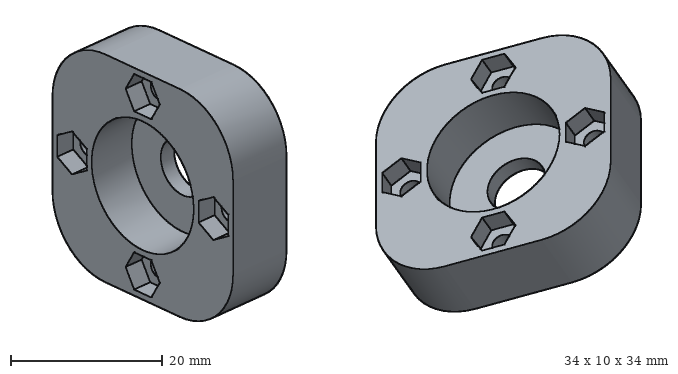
import cadquery as cq

side = 34.0
thickness = 10.0
corner_radius = 10.0

bore_diameter = 19.2
bore_depth = 7.48
shaft_hole_diameter = 8.3

bolt_hole_diameter = 3.0
bolt_offset = 13.3
nut_corner_diameter = 6.43
nut_depth = 3.0
bolt_count = 4


def front_plane():
    """Front face plane: local x is +X, local y is +Z, normal points out to -Y."""
    return cq.Workplane("XZ", origin=(0, -thickness / 2, 0))


def make_body():
    body = front_plane().rect(side, side).extrude(-thickness)
    return body.edges("|Y").fillet(corner_radius)


def make_central_bore():
    bore = front_plane().circle(bore_diameter / 2).extrude(-bore_depth)
    shaft_hole = front_plane().circle(shaft_hole_diameter / 2).extrude(-thickness)
    return bore.union(shaft_hole)


def make_bolt_cut(angle):
    """Through hole and nut pocket, with two flats of the nut facing the bore."""
    center = front_plane().center(0, bolt_offset)
    hole = center.circle(bolt_hole_diameter / 2).extrude(-thickness)
    pocket = center.polygon(6, nut_corner_diameter).extrude(-nut_depth)
    return hole.union(pocket).rotate((0, 0, 0), (0, 1, 0), angle)


result = make_body().cut(make_central_bore())
for index in range(bolt_count):
    result = result.cut(make_bolt_cut(index * 360 / bolt_count))